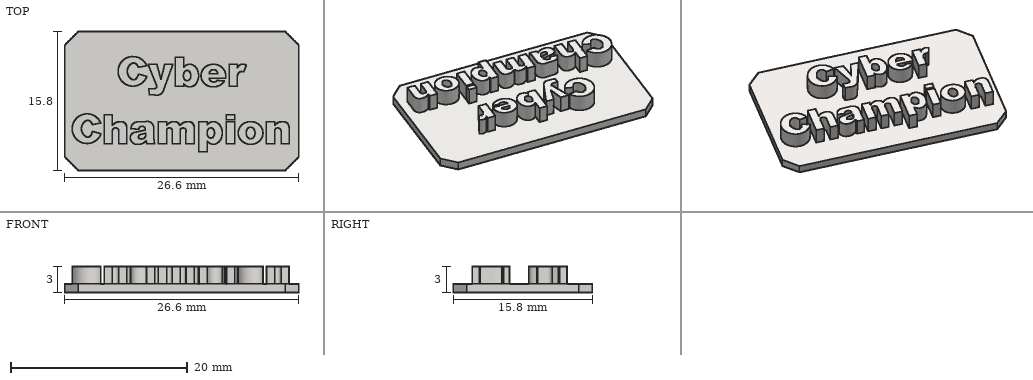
import cadquery as cq

plate_length = 26.6
plate_width = 15.8
plate_thickness = 1.0
corner_cut = 1.55

total_height = 3.0
letter_height = total_height - plate_thickness
upper_baseline = 1.68
lower_baseline = -4.85

cap_height = 3.3
x_height = 2.47
descender = 0.9
stem_width = 0.95
stem_overlap = 0.27
notch_height = 2.1
dot_bottom = 2.7
round_top = 2.5
round_bottom = -0.08
round_middle = (round_top + round_bottom) / 2
round_radius = (round_top - round_bottom) / 2


def raise_outline(outline):
    """Extrude a closed outline to the height of a letter."""
    return outline.close().extrude(letter_height)


def bar(left, right, bottom, top):
    """Upright rectangular stroke."""
    return raise_outline(
        cq.Workplane().moveTo(left, bottom).lineTo(right, bottom).lineTo(right, top).lineTo(left, top)
    )


def oval(center_x, radius_x, radius_y):
    """Oval centered on the middle of the small letters."""
    return cq.Workplane().center(center_x, round_middle).ellipse(radius_x, radius_y).extrude(letter_height)


def arch(left, right, leg_left):
    """Shoulder that springs from a stem at `left` and comes down as a leg."""
    crown_x = (left + right) / 2
    gap_middle = (left + leg_left) / 2
    return raise_outline(
        cq.Workplane()
        .moveTo(left, 1.28)
        .lineTo(left - stem_overlap, 1.28)
        .lineTo(left - stem_overlap, notch_height)
        .lineTo(left, notch_height)
        .spline([(crown_x, round_top), (right, 1.65)], tangents=[(1, 1), (0, -1)], includeCurrent=True)
        .lineTo(right, 0)
        .lineTo(leg_left, 0)
        .lineTo(leg_left, 1.33)
        .threePointArc((gap_middle, 1.78), (left, 1.28))
    )


def bowl_letter(stem_bottom, stem_top):
    """Stem with a closed bowl on its right, as in b and p."""
    stem = bar(0, stem_width, stem_bottom, stem_top)
    bowl = oval(1.65, 1.0, round_radius)
    counter = oval(1.35, 0.43, 0.59)
    return stem.union(bowl).cut(counter)


def arch_letter(stem_top):
    """Stem with one arch, as in h and n."""
    return bar(0, stem_width, 0, stem_top).union(arch(stem_width, 2.6, 1.68))


def letter_c():
    return raise_outline(
        cq.Workplane()
        .moveTo(3.25, 2.35)
        .threePointArc((0, 1.65), (3.27, 1.12))
        .lineTo(2.32, 1.38)
        .spline(
            [(1.68, 0.75), (1.05, 1.7), (1.68, 2.63), (2.32, 2.15)],
            includeCurrent=True,
        )
    )


def letter_y():
    return raise_outline(
        cq.Workplane()
        .moveTo(0, x_height)
        .lineTo(1.0, x_height)
        .lineTo(1.46, 0.77)
        .lineTo(1.9, x_height)
        .lineTo(2.82, x_height)
        .lineTo(1.75, -0.45)
        .threePointArc((1.5, -0.85), (1.06, -1.0))
        .lineTo(0.15, -0.95)
        .lineTo(0.08, -0.3)
        .lineTo(0.67, -0.3)
        .threePointArc((0.88, -0.2), (1.0, 0))
    )


def letter_b():
    return bowl_letter(0, cap_height)


def letter_e():
    eye = raise_outline(cq.Workplane().moveTo(0.93, 1.45).lineTo(1.92, 1.45).threePointArc((1.45, 1.9), (0.93, 1.45)))
    mouth = raise_outline(
        cq.Workplane()
        .moveTo(0.93, 0.93)
        .lineTo(3.2, 0.93)
        .lineTo(3.2, 0.55)
        .lineTo(1.85, 0.67)
        .threePointArc((1.38, 0.48), (0.93, 0.93))
    )
    return oval(1.4, 1.4, round_radius).cut(eye).cut(mouth)


def letter_r():
    arm = raise_outline(
        cq.Workplane()
        .moveTo(stem_width, 1.1)
        .lineTo(stem_width - stem_overlap, 1.1)
        .lineTo(stem_width - stem_overlap, notch_height)
        .lineTo(stem_width, notch_height)
        .threePointArc((1.4, 2.5), (1.97, 2.37))
        .lineTo(1.68, 1.65)
        .lineTo(1.35, 1.68)
        .threePointArc((1.1, 1.52), (stem_width, 1.1))
    )
    return bar(0, stem_width, 0, x_height).union(arm)


def letter_h():
    return arch_letter(cap_height)


def letter_a():
    counter = raise_outline(
        cq.Workplane()
        .moveTo(1.75, 1.2)
        .lineTo(1.12, 1.0)
        .threePointArc((0.93, 0.75), (1.17, 0.53))
        .threePointArc((1.6, 0.65), (1.75, 1.2))
    )
    body = raise_outline(
        cq.Workplane()
        .moveTo(0.08, 1.7)
        .threePointArc((0.32, 2.25), (0.85, 2.47))
        .lineTo(1.7, round_top)
        .threePointArc((2.45, 2.32), (2.7, 1.7))
        .lineTo(2.7, 0.53)
        .lineTo(2.77, 0)
        .lineTo(1.9, 0)
        .lineTo(1.8, 0.32)
        .threePointArc((1.4, 0.03), (0.95, round_bottom))
        .threePointArc((0.25, 0.13), (0, 0.67))
        .threePointArc((0.13, 1.06), (0.48, 1.28))
        .lineTo(1.73, 1.55)
        .threePointArc((1.38, 1.97), (0.95, 1.62))
    )
    return body.cut(counter)


def letter_m():
    second_leg = (1.57, 2.47)
    third_leg = (3.15, 4.1)
    first_arch = arch(stem_width, second_leg[1], second_leg[0])
    second_arch = arch(second_leg[1], third_leg[1], third_leg[0])
    stem = bar(0, stem_width, 0, x_height)
    middle_stem = bar(*second_leg, 0, notch_height)
    return stem.union(first_arch).union(middle_stem).union(second_arch)


def letter_p():
    return bowl_letter(-descender, x_height)


def letter_i():
    return bar(0, stem_width, 0, x_height).union(bar(0, stem_width, dot_bottom, cap_height))


def letter_o():
    return oval(1.4, 1.4, round_radius).cut(oval(1.4, 0.5, 0.67))


def letter_n():
    return arch_letter(x_height)


upper_word = [(letter_c, -7.25), (letter_y, -3.83), (letter_b, -0.75), (letter_e, 2.18), (letter_r, 5.38)]
lower_word = [
    (letter_c, -12.45),
    (letter_h, -8.83),
    (letter_a, -5.85),
    (letter_m, -2.65),
    (letter_p, 1.95),
    (letter_i, 5.05),
    (letter_o, 6.4),
    (letter_n, 9.6),
]

plate = (
    cq.Workplane()
    .box(plate_length, plate_width, plate_thickness, centered=(True, True, False))
    .edges("|Z")
    .chamfer(corner_cut)
)

result = plate
for word, baseline in ((upper_word, upper_baseline), (lower_word, lower_baseline)):
    for make_letter, left in word:
        result = result.union(make_letter().translate((left, baseline, plate_thickness)))